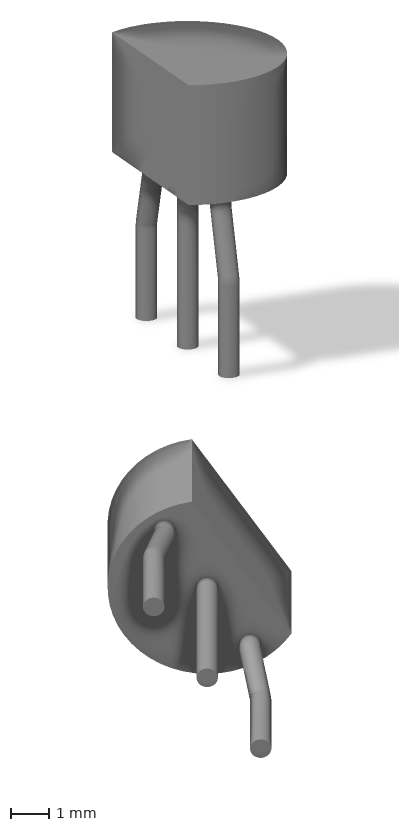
import cadquery as cq
import math

total_height = 8.07
housing_height = 3.3
housing_radius = 2.6
housing_depth = 3.67
housing_bottom = total_height - housing_height
flat_y = housing_radius - housing_depth
flat_half_width = math.sqrt(housing_radius**2 - flat_y**2)

lead_diameter = 0.56
tip_spacing = 2.54
root_spacing = 2.04
root_length = 0.22
bend_radius = lead_diameter
bend_angle = math.radians(15)


def make_housing():
    """Round housing with one flat side facing -Y."""
    return (
        cq.Workplane("XY", origin=(0, 0, housing_bottom))
        .moveTo(-flat_half_width, flat_y)
        .threePointArc((0, housing_radius), (flat_half_width, flat_y))
        .close()
        .extrude(housing_height)
    )


def make_middle_lead():
    """Straight lead on the housing axis."""
    return cq.Workplane("XY").circle(lead_diameter / 2).extrude(housing_bottom)


def make_outer_lead(side):
    """Lead with two opposite bends; side is -1 or +1 along X."""
    bend_across = bend_radius * (1 - math.cos(bend_angle))
    bend_down = bend_radius * math.sin(bend_angle)
    half_across = bend_radius * (1 - math.cos(bend_angle / 2))
    half_down = bend_radius * math.sin(bend_angle / 2)

    slope_across = tip_spacing - root_spacing - 2 * bend_across
    slope_down = slope_across / math.tan(bend_angle)

    upper_start = (root_spacing, housing_bottom - root_length)
    upper_middle = (upper_start[0] + half_across, upper_start[1] - half_down)
    upper_end = (upper_start[0] + bend_across, upper_start[1] - bend_down)
    lower_start = (upper_end[0] + slope_across, upper_end[1] - slope_down)
    lower_end = (tip_spacing, lower_start[1] - bend_down)
    lower_middle = (lower_end[0] - half_across, lower_end[1] + half_down)

    def on_side(point):
        return (side * point[0], point[1])

    path = (
        cq.Workplane("XZ")
        .moveTo(*on_side((root_spacing, housing_bottom)))
        .lineTo(*on_side(upper_start))
        .threePointArc(on_side(upper_middle), on_side(upper_end))
        .lineTo(*on_side(lower_start))
        .threePointArc(on_side(lower_middle), on_side(lower_end))
        .lineTo(*on_side((tip_spacing, 0)))
    )
    return (
        cq.Workplane("XY", origin=(side * root_spacing, 0, housing_bottom))
        .circle(lead_diameter / 2)
        .sweep(path)
    )


housing = make_housing()
middle_lead = make_middle_lead()
outer_leads = [make_outer_lead(side) for side in (-1, 1)]

result = cq.Compound.makeCompound(
    [housing.val(), middle_lead.val(), *[lead.val() for lead in outer_leads]]
)